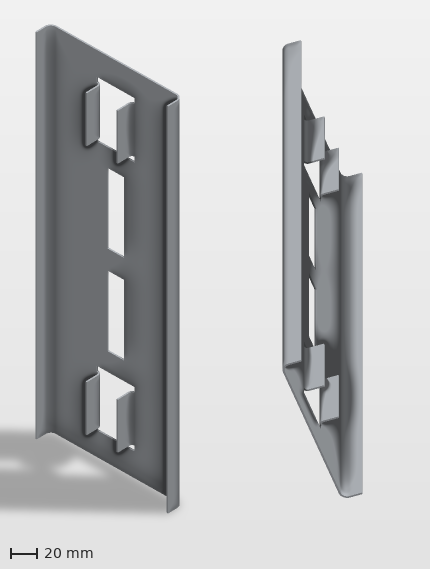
import cadquery as cq
import math

LENGTH = 380.0
WIDTH = 140.0
DEPTH = 16.7
SHEET = 1.5
BEND_RADIUS = 7.0

WINDOW_WIDTH = 40.0
WINDOW_HEIGHT = 60.0
WINDOW_OFFSET = 135.0

TAB_HEIGHT = 49.5
TAB_GAP = 31.0

SLOT_WIDTH = 17.5
SLOT_HEIGHT = 75.2
SLOT_OFFSET = 48.0

BACK = DEPTH / 2
FRONT = -DEPTH / 2


def arc_midpoint(center_x, center_y, radius, side):
    """Point halfway round a bend between the web and a side of sign `side`."""
    reach = radius * math.sqrt(0.5)
    return center_x + side * reach, center_y + reach


def bent_strip(start_x, tip_x, side, radius, thickness, height):
    """Strip lying in the web from start_x, bent to -Y with its outer face at tip_x."""
    center_x = tip_x - side * radius
    center_y = BACK - radius
    inner_radius = radius - thickness
    inner_x = tip_x - side * thickness
    return (
        cq.Workplane("XY")
        .moveTo(start_x, BACK)
        .lineTo(center_x, BACK)
        .threePointArc(arc_midpoint(center_x, center_y, radius, side), (tip_x, center_y))
        .lineTo(tip_x, FRONT)
        .lineTo(inner_x, FRONT)
        .lineTo(inner_x, center_y)
        .threePointArc(
            arc_midpoint(center_x, center_y, inner_radius, side),
            (center_x, BACK - thickness),
        )
        .lineTo(start_x, BACK - thickness)
        .close()
        .extrude(height / 2, both=True)
    )


def make_channel():
    left = bent_strip(0, -WIDTH / 2, -1, BEND_RADIUS, SHEET, LENGTH)
    right = bent_strip(0, WIDTH / 2, 1, BEND_RADIUS, SHEET, LENGTH)
    return left.union(right)


def cut_openings(body, width, height, offset):
    """Cut a pair of rectangular openings, mirrored about mid-length."""
    for z in (-offset, offset):
        cutter = cq.Workplane("XY").box(width, 2 * DEPTH, height).translate((0, 0, z))
        body = body.cut(cutter)
    return body


def add_tabs(body):
    """Bend a tab toward -Y from both long edges of each window."""
    edge_x = WINDOW_WIDTH / 2
    tip_x = TAB_GAP / 2
    root_x = edge_x + SHEET
    bend_radius = edge_x - tip_x
    for z in (-WINDOW_OFFSET, WINDOW_OFFSET):
        for side in (-1, 1):
            tab = bent_strip(
                side * root_x, side * tip_x, -side, bend_radius, SHEET, TAB_HEIGHT
            )
            body = body.union(tab.translate((0, 0, z)))
    return body


channel = make_channel()
channel = cut_openings(channel, WINDOW_WIDTH, WINDOW_HEIGHT, WINDOW_OFFSET)
channel = cut_openings(channel, SLOT_WIDTH, SLOT_HEIGHT, SLOT_OFFSET)
result = add_tabs(channel)